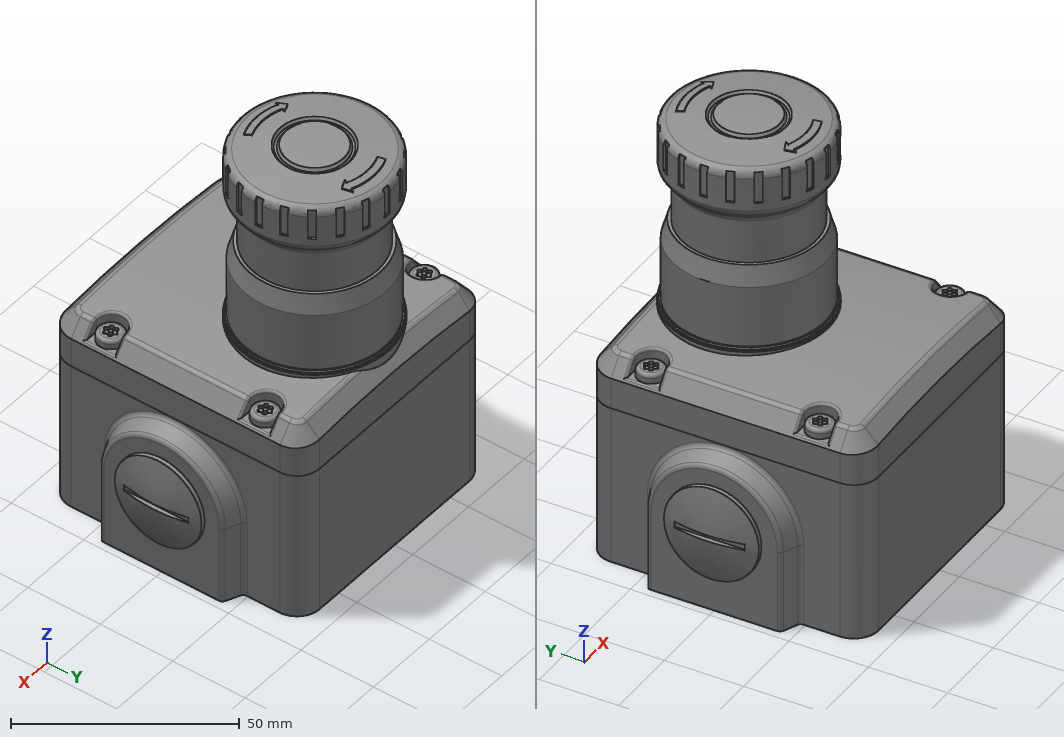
import cadquery as cq
import math

BOX_X = 66.0
BOX_Y = 70.0
CORNER_RADIUS = 6.2
PARTING_Z = 40.8
CROWN_Z = 54.9
CROWN_RADIUS = 299.2
COVER_CHAMFER_DROP = 4.3
COVER_CHAMFER_INSET = 3.8
COVER_FILLET = 1.7

BOSS_FACE_X = 38.0
BOSS_AXIS_Z = 21.0
BOSS_FOOT_RADIUS = 18.9
BOSS_DRAFT = 23.6
BOSS_FILLET = 1.3

PLUG_RADIUS = 12.0
PLUG_RIM = 1.2
PLUG_SPAN = 82.0
PLUG_TIP_X = PLUG_SPAN / 2
SLOT_LENGTH = 17.8
SLOT_WIDTH = 1.6
SLOT_FLOOR_X = 39.7

SCREW_X = 28.5
SCREW_Y = 21.3
RECESS_RADIUS = 4.0
RECESS_FLOOR_Z = 49.6
RECESS_EDGE_FILLET = 0.6
HEAD_RADIUS = 3.5
HEAD_HEIGHT = 2.4
HEAD_FILLET = 0.9
DRIVE_DEPTH = 0.8
DRIVE_CORE_RADIUS = 1.4
DRIVE_LOBE_RADIUS = 0.47
DRIVE_LOBE_COUNT = 6
DRIVE_PIN_RADIUS = 0.5

BUTTON_Y = 13.0
PAD_RADIUS = 20.2
PAD_TOP_Z = 55.6
PAD_CHAMFER = 0.3

FLANGE_RADIUS = 20.1
FLANGE_HEIGHT = 0.6
FLANGE_CHAMFER = 0.3
COLLAR_RADIUS = 19.3
COLLAR_SHOULDER_Z = 72.0
COLLAR_RIM_RADIUS = 17.8
COLLAR_TOP_Z = 77.0

SHAFT_RADIUS = 17.0
NECK_Z = 88.8
NECK_FILLET = 1.8
KNOB_RADIUS = 20.1
KNOB_BOTTOM_Z = 92.0
KNOB_BOTTOM_FILLET = 2.1
KNOB_TOP_Z = 105.0
KNOB_DOME_RADIUS = 110.2
KNOB_TOP_FILLET = 2.2

GRIP_COUNT = 20
GRIP_WIDTH = 1.9
GRIP_FLOOR_RADIUS = 19.5
GRIP_BOTTOM_Z = 94.8

RING_OUTER_RADIUS = 9.5
RING_INNER_RADIUS = 7.8
RING_WALL_RUN = 0.5
RING_DEPTH = 0.6

ARROW_INNER_RADIUS = 14.2
ARROW_OUTER_RADIUS = 16.1
ARROW_BARB = 0.9
ARROW_HALF_ANGLE = 22.5
ARROW_TIP_ANGLE = 29.5
ARROW_HEIGHT = 0.3

PICK_MARGIN = 0.1


def sag(offset, radius):
    """Drop of an arc of the given radius at a distance from its crown."""
    return radius - math.sqrt(radius**2 - offset**2)


def polar(radius, degrees_from_y):
    """Point in the XY plane, with the angle measured clockwise from +Y."""
    angle = math.radians(degrees_from_y)
    return (radius * math.sin(angle), radius * math.cos(angle))


def make_boss():
    """Drafted arch on the +X side, running straight down to the bottom of the base."""
    face_radius = BOSS_FOOT_RADIUS - (BOSS_FACE_X - BOX_X / 2) * math.tan(math.radians(BOSS_DRAFT))
    half_section = [
        (0, 0),
        (0, BOSS_FOOT_RADIUS),
        (BOX_X / 2, BOSS_FOOT_RADIUS),
        (BOSS_FACE_X, face_radius),
        (BOSS_FACE_X, 0),
    ]
    half_leg = cq.Workplane("XY").polyline(half_section).close().extrude(BOSS_AXIS_Z)
    legs = half_leg.union(half_leg.mirror("XZ"))
    arch = cq.Workplane("XY").polyline(half_section).close().revolve(180, (0, 0, 0), (1, 0, 0))
    arch = arch.translate((0, 0, BOSS_AXIS_Z))
    return legs.union(arch)


def make_base():
    body = cq.Workplane("XY").rect(BOX_X, BOX_Y).extrude(PARTING_Z).edges("|Z").fillet(CORNER_RADIUS)
    boss = make_boss()
    body = body.union(boss).union(boss.mirror("YZ")).clean()
    reach = BOSS_FOOT_RADIUS + PICK_MARGIN
    for x in (BOX_X / 2, BOSS_FACE_X):
        for side in (-1, 1):
            outline = cq.selectors.BoxSelector(
                (side * x - PICK_MARGIN, -reach, PICK_MARGIN),
                (side * x + PICK_MARGIN, reach, PARTING_Z - PICK_MARGIN),
            )
            body = body.edges(outline).fillet(BOSS_FILLET)
    return body


def screw_recess(side_x, side_y):
    """Round pocket that opens through the side wall of the cover."""
    x = side_x * SCREW_X
    y = side_y * SCREW_Y
    height = CROWN_Z - RECESS_FLOOR_Z
    pocket = cq.Workplane("XY", origin=(x, y, RECESS_FLOOR_Z)).circle(RECESS_RADIUS).extrude(height)
    opening = (
        cq.Workplane("XY", origin=(x + side_x * RECESS_RADIUS, y, RECESS_FLOOR_Z))
        .rect(2 * RECESS_RADIUS, 2 * RECESS_RADIUS)
        .extrude(height)
    )
    return pocket.union(opening)


def recess_rim(side_x, side_y):
    """Selects the edges where a recess meets the outer faces of the cover."""
    x = side_x * SCREW_X
    y = side_y * SCREW_Y
    reach = RECESS_RADIUS + PICK_MARGIN
    low = (x - reach, y - reach)
    high = (x + reach, y + reach)
    around_walls = cq.selectors.BoxSelector((*low, RECESS_FLOOR_Z + PICK_MARGIN), (*high, CROWN_Z))
    around_floor = cq.selectors.BoxSelector(
        (*low, RECESS_FLOOR_Z - PICK_MARGIN),
        (*high, RECESS_FLOOR_Z + PICK_MARGIN),
    )
    upright = cq.selectors.ParallelDirSelector(cq.Vector(0, 0, 1))
    sill = cq.selectors.ParallelDirSelector(cq.Vector(0, 1, 0))
    return (around_walls - upright) + (around_floor & sill)


def make_cover():
    edge_z = CROWN_Z - sag(BOX_X / 2, CROWN_RADIUS)
    crowned = (
        cq.Workplane("XZ", origin=(0, BOX_Y / 2, 0))
        .moveTo(-BOX_X / 2, PARTING_Z)
        .lineTo(-BOX_X / 2, edge_z)
        .threePointArc((0, CROWN_Z), (BOX_X / 2, edge_z))
        .lineTo(BOX_X / 2, PARTING_Z)
        .close()
        .extrude(BOX_Y)
    )
    body = crowned.edges("|Z").fillet(CORNER_RADIUS)
    body = body.faces(">Z").edges().chamfer(COVER_CHAMFER_DROP, COVER_CHAMFER_INSET)
    body = body.faces(">Z").edges().fillet(COVER_FILLET)
    for side_x in (-1, 1):
        for side_y in (-1, 1):
            body = body.cut(screw_recess(side_x, side_y))
            body = body.edges(recess_rim(side_x, side_y)).fillet(RECESS_EDGE_FILLET)
    pad = (
        cq.Workplane("XY", origin=(0, BUTTON_Y, PARTING_Z))
        .circle(PAD_RADIUS)
        .extrude(PAD_TOP_Z - PARTING_Z)
        .faces(">Z")
        .chamfer(PAD_CHAMFER)
    )
    return body.union(pad)


def make_plug(side_x):
    """Domed plug seated on a boss face, with a screwdriver slot along Y."""
    rim_x = BOSS_FACE_X + PLUG_RIM
    sagitta = PLUG_TIP_X - rim_x
    dome_radius = (PLUG_RADIUS**2 + sagitta**2) / (2 * sagitta)
    middle = PLUG_RADIUS / 2
    plug = (
        cq.Workplane("XY")
        .moveTo(BOSS_FACE_X, 0)
        .lineTo(BOSS_FACE_X, PLUG_RADIUS)
        .lineTo(rim_x, PLUG_RADIUS)
        .threePointArc((PLUG_TIP_X - sag(middle, dome_radius), middle), (PLUG_TIP_X, 0))
        .close()
        .revolve(360, (0, 0, 0), (1, 0, 0))
    )
    slot = cq.Workplane("YZ", origin=(SLOT_FLOOR_X, 0, 0)).rect(SLOT_LENGTH, SLOT_WIDTH).extrude(sagitta)
    plug = plug.cut(slot).translate((0, 0, BOSS_AXIS_Z))
    return plug if side_x > 0 else plug.mirror("YZ")


def make_screw(x, y):
    """Screw head with a six-lobe drive around a centre pin."""
    drive_z = HEAD_HEIGHT - DRIVE_DEPTH
    head = cq.Workplane("XY").circle(HEAD_RADIUS).extrude(HEAD_HEIGHT)
    head = head.faces(">Z").edges().fillet(HEAD_FILLET)
    drive = cq.Workplane("XY", origin=(0, 0, drive_z)).circle(DRIVE_CORE_RADIUS).extrude(DRIVE_DEPTH)
    lobes = (
        cq.Workplane("XY", origin=(0, 0, drive_z))
        .polarArray(DRIVE_CORE_RADIUS, 90, 360, DRIVE_LOBE_COUNT)
        .circle(DRIVE_LOBE_RADIUS)
        .extrude(DRIVE_DEPTH)
    )
    pin = cq.Workplane("XY", origin=(0, 0, drive_z)).circle(DRIVE_PIN_RADIUS).extrude(DRIVE_DEPTH)
    return head.cut(drive.union(lobes).cut(pin)).translate((x, y, RECESS_FLOOR_Z))


def make_collar():
    flange_top = PAD_TOP_Z + FLANGE_HEIGHT
    profile = [
        (0, PAD_TOP_Z),
        (FLANGE_RADIUS, PAD_TOP_Z),
        (FLANGE_RADIUS, flange_top - FLANGE_CHAMFER),
        (FLANGE_RADIUS - FLANGE_CHAMFER, flange_top),
        (COLLAR_RADIUS, flange_top),
        (COLLAR_RADIUS, COLLAR_SHOULDER_Z),
        (COLLAR_RIM_RADIUS, COLLAR_TOP_Z),
        (0, COLLAR_TOP_Z),
    ]
    collar = cq.Workplane("XZ").polyline(profile).close().revolve(360, (0, 0, 0), (0, 1, 0))
    return collar.translate((0, BUTTON_Y, 0))


def knob_dome_z(radius):
    return KNOB_TOP_Z - sag(radius, KNOB_DOME_RADIUS)


def knob_blank():
    """Shaft and domed knob, with rounded neck, lower edge and top edge."""
    blank = (
        cq.Workplane("XZ")
        .moveTo(0, COLLAR_TOP_Z)
        .lineTo(SHAFT_RADIUS, COLLAR_TOP_Z)
        .lineTo(SHAFT_RADIUS, NECK_Z)
        .lineTo(KNOB_RADIUS, KNOB_BOTTOM_Z)
        .lineTo(KNOB_RADIUS, knob_dome_z(KNOB_RADIUS))
        .threePointArc((KNOB_RADIUS / 2, knob_dome_z(KNOB_RADIUS / 2)), (0, KNOB_TOP_Z))
        .close()
        .revolve(360, (0, 0, 0), (0, 1, 0))
    )
    rounded_edges = [
        (NECK_Z, NECK_FILLET),
        (KNOB_BOTTOM_Z, KNOB_BOTTOM_FILLET),
        (knob_dome_z(KNOB_RADIUS), KNOB_TOP_FILLET),
    ]
    reach = 2 * KNOB_RADIUS
    for z, radius in rounded_edges:
        low = (-reach, -reach, z - PICK_MARGIN)
        high = (reach, reach, z + PICK_MARGIN)
        level = cq.selectors.BoxSelector(low, high)
        blank = blank.edges("%CIRCLE").edges(level).fillet(radius)
    return blank


def grip_notch(index):
    """Flat-bottomed notch in the rim of the knob, running out through the top rounding."""
    depth = 2 * (KNOB_RADIUS - GRIP_FLOOR_RADIUS)
    height = KNOB_TOP_Z - GRIP_BOTTOM_Z
    notch = cq.Workplane("XY").box(depth, GRIP_WIDTH, height, centered=(False, True, False))
    notch = notch.translate((GRIP_FLOOR_RADIUS, 0, GRIP_BOTTOM_Z))
    return notch.rotate((0, 0, 0), (0, 0, 1), index * 360 / GRIP_COUNT)


def ring_groove():
    """Groove with sloping walls around the middle of the dome."""
    floor_z = knob_dome_z(RING_OUTER_RADIUS) - RING_DEPTH
    profile = [
        (RING_OUTER_RADIUS, knob_dome_z(RING_OUTER_RADIUS)),
        (RING_OUTER_RADIUS - RING_WALL_RUN, floor_z),
        (RING_INNER_RADIUS + RING_WALL_RUN, floor_z),
        (RING_INNER_RADIUS, knob_dome_z(RING_INNER_RADIUS)),
        (RING_INNER_RADIUS, KNOB_TOP_Z),
        (RING_OUTER_RADIUS, KNOB_TOP_Z),
    ]
    return cq.Workplane("XZ").polyline(profile).close().revolve(360, (0, 0, 0), (0, 1, 0))


def arrow():
    """Raised clockwise arrow on the +Y half of the dome, following its curvature."""
    middle_radius = (ARROW_INNER_RADIUS + ARROW_OUTER_RADIUS) / 2
    prism = (
        cq.Workplane("XY", origin=(0, 0, knob_dome_z(KNOB_RADIUS)))
        .moveTo(*polar(ARROW_INNER_RADIUS, -ARROW_HALF_ANGLE))
        .lineTo(*polar(ARROW_OUTER_RADIUS, -ARROW_HALF_ANGLE))
        .threePointArc((0, ARROW_OUTER_RADIUS), polar(ARROW_OUTER_RADIUS, ARROW_HALF_ANGLE))
        .lineTo(*polar(ARROW_OUTER_RADIUS + ARROW_BARB, ARROW_HALF_ANGLE))
        .lineTo(*polar(middle_radius, ARROW_TIP_ANGLE))
        .lineTo(*polar(ARROW_INNER_RADIUS - ARROW_BARB, ARROW_HALF_ANGLE))
        .lineTo(*polar(ARROW_INNER_RADIUS, ARROW_HALF_ANGLE))
        .threePointArc((0, ARROW_INNER_RADIUS), polar(ARROW_INNER_RADIUS, -ARROW_HALF_ANGLE))
        .close()
        .extrude(KNOB_TOP_Z - knob_dome_z(KNOB_RADIUS))
    )
    raised_dome = cq.Workplane("XY").sphere(KNOB_DOME_RADIUS)
    raised_dome = raised_dome.translate((0, 0, KNOB_TOP_Z + ARROW_HEIGHT - KNOB_DOME_RADIUS))
    return prism.intersect(raised_dome)


def make_button():
    button = knob_blank().cut(ring_groove())
    for index in range(GRIP_COUNT):
        button = button.cut(grip_notch(index))
    for turn in (0, 180):
        button = button.union(arrow().rotate((0, 0, 0), (0, 0, 1), turn))
    return button.translate((0, BUTTON_Y, 0))


base = make_base()
cover = make_cover()
plugs = [make_plug(side_x) for side_x in (-1, 1)]
screws = [make_screw(sx * SCREW_X, sy * SCREW_Y) for sx in (-1, 1) for sy in (-1, 1)]
collar = make_collar()
button = make_button()

result = cq.Compound.makeCompound(
    [
        base.val(),
        cover.val(),
        collar.val(),
        button.val(),
        *[plug.val() for plug in plugs],
        *[screw.val() for screw in screws],
    ]
)